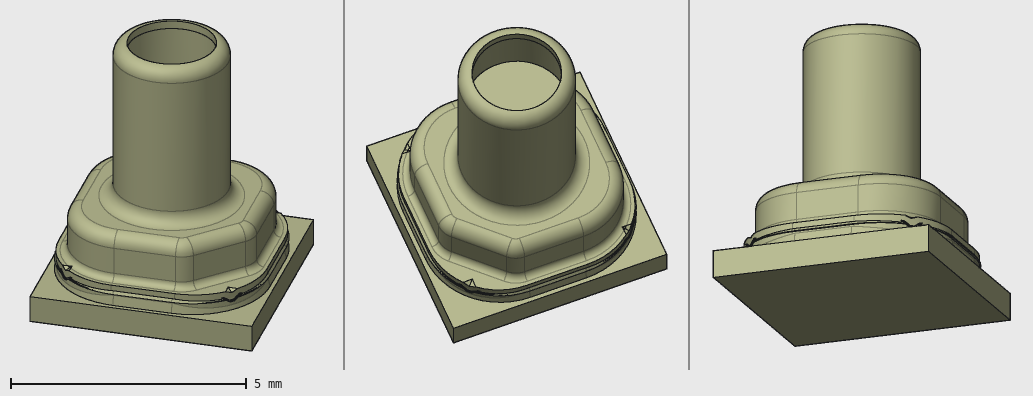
import cadquery as cq
import math

BASE_SIDE = 4.89
BASE_HEIGHT = 0.60

FLANGE_HALF = 2.30
FLANGE_CORNER_RADIUS = 1.60
FLANGE_TOP = 1.06

FOOT_HALF = 2.345
FOOT_CORNER_RADIUS = 1.70
FOOT_TOP = 0.82
FOOT_TAPER = math.degrees(math.atan2(FOOT_HALF - FLANGE_HALF, FOOT_TOP - BASE_HEIGHT))

RIDGE_BOTTOM = 0.862
RIDGE_TOP = 0.929
RIDGE_TAPER = math.degrees(math.atan2(FOOT_HALF - FLANGE_HALF, RIDGE_TOP - RIDGE_BOTTOM))

DIP_HALF_WIDTH = 0.19
DIP_TIP_HALF_WIDTH = 0.05
DIP_TIP_BOTTOM = 0.80
DIP_BAND = 0.035

NOTCH_APEX = 2.43
NOTCH_HALF_WIDTH = 0.15
NOTCH_DEPTH = 0.055

BLOCK_HALF = 2.055
BLOCK_CORNER_RADIUS = 1.355
BLOCK_TOP = 2.12
BLOCK_TOP_FILLET = 0.30
BLOCK_FOOT_FILLET = 0.155
CUT_OFFSET = 2.917
CUT_EDGE_RADIUS = 0.50

TUBE_RADIUS = 1.25
TUBE_TOP = 5.82
TUBE_FILLET = 0.30
MOUTH_RADIUS = TUBE_RADIUS - TUBE_FILLET
LIP_THICKNESS = 0.18
BORE_RADIUS = 1.10
BORE_DEPTH = 1.35

SELECT_MARGIN = 0.02
CORNER_ANGLES = (45, 135, 225, 315)


def rounded_square(half, corner_radius, bottom, height, taper=0):
    """Prism with a rounded square outline, narrowing upward when tapered."""
    outline = cq.Sketch().rect(2 * half, 2 * half).vertices().fillet(corner_radius)
    return cq.Workplane("XY").workplane(offset=bottom).placeSketch(outline).extrude(height, taper=taper)


def make_base():
    return cq.Workplane("XY").box(BASE_SIDE, BASE_SIDE, BASE_HEIGHT, centered=(True, True, False))


def make_flange():
    wall = rounded_square(FLANGE_HALF, FLANGE_CORNER_RADIUS, BASE_HEIGHT, FLANGE_TOP - BASE_HEIGHT)
    foot_height = FOOT_TOP - BASE_HEIGHT
    foot = rounded_square(FOOT_HALF, FOOT_CORNER_RADIUS, BASE_HEIGHT, foot_height, FOOT_TAPER)
    return wall.union(foot)


def make_ridge():
    height = RIDGE_TOP - RIDGE_BOTTOM
    return rounded_square(FOOT_HALF, FOOT_CORNER_RADIUS, RIDGE_BOTTOM, height, RIDGE_TAPER)


def dip_wedge(tip_z, angle):
    """Blunt V pointing down, reaching from the axis outward through one corner."""
    slope = (DIP_HALF_WIDTH - DIP_TIP_HALF_WIDTH) / (RIDGE_TOP - DIP_TIP_BOTTOM - DIP_BAND)
    top_half_width = DIP_TIP_HALF_WIDTH + slope * (RIDGE_TOP - tip_z)
    profile = [
        (-top_half_width, RIDGE_TOP),
        (-DIP_TIP_HALF_WIDTH, tip_z),
        (DIP_TIP_HALF_WIDTH, tip_z),
        (top_half_width, RIDGE_TOP),
    ]
    wedge = cq.Workplane("YZ").polyline(profile).close().extrude(BASE_SIDE)
    return wedge.rotate((0, 0, 0), (0, 0, 1), angle)


def add_ridge_dips(body):
    """Bend the ridge down into a V at each corner."""
    height = RIDGE_TOP - DIP_TIP_BOTTOM
    ridge_prism = rounded_square(FOOT_HALF, FOOT_CORNER_RADIUS, DIP_TIP_BOTTOM, height)
    flange_prism = rounded_square(FLANGE_HALF, FLANGE_CORNER_RADIUS, DIP_TIP_BOTTOM, height)
    for angle in CORNER_ANGLES:
        band = dip_wedge(DIP_TIP_BOTTOM, angle).intersect(ridge_prism)
        recess = dip_wedge(DIP_TIP_BOTTOM + DIP_BAND, angle).cut(flange_prism)
        body = body.union(band).cut(recess)
    return body


def make_notch(angle):
    """V groove that deepens and widens from a point outward along one diagonal."""
    corner_reach = math.sqrt(2) * (FLANGE_HALF - FLANGE_CORNER_RADIUS) + FLANGE_CORNER_RADIUS
    apex = cq.Vector(NOTCH_APEX, 0, FLANGE_TOP)
    left = cq.Vector(corner_reach, NOTCH_HALF_WIDTH, FLANGE_TOP)
    right = cq.Vector(corner_reach, -NOTCH_HALF_WIDTH, FLANGE_TOP)
    bottom = cq.Vector(corner_reach, 0, FLANGE_TOP - NOTCH_DEPTH)
    triangles = [
        (apex, left, right),
        (apex, left, bottom),
        (apex, right, bottom),
        (left, right, bottom),
    ]
    faces = [cq.Face.makeFromWires(cq.Wire.makePolygon(points, close=True)) for points in triangles]
    groove = cq.Solid.makeSolid(cq.Shell.makeShell(faces))
    return cq.Workplane(groove).rotate((0, 0, 0), (0, 0, 1), angle)


def add_block(body):
    """Block with its cut corner at +X, -Y, filleted into the flange and around its top."""
    cut_start = CUT_OFFSET - BLOCK_HALF
    corners = [
        (-BLOCK_HALF, -BLOCK_HALF),
        (cut_start, -BLOCK_HALF),
        (BLOCK_HALF, -cut_start),
        (BLOCK_HALF, BLOCK_HALF),
        (-BLOCK_HALF, BLOCK_HALF),
    ]
    cut_ends = cq.selectors.BoxSelector((0, -BASE_SIDE, BASE_HEIGHT), (BASE_SIDE, 0, BLOCK_TOP))
    upright = cq.selectors.StringSyntaxSelector("|Z")
    block = (
        cq.Workplane("XY")
        .workplane(offset=BASE_HEIGHT)
        .polyline(corners)
        .close()
        .extrude(BLOCK_TOP - BASE_HEIGHT)
        .edges(upright - cut_ends)
        .fillet(BLOCK_CORNER_RADIUS)
        .edges(upright & cut_ends)
        .fillet(CUT_EDGE_RADIUS)
        .faces(">Z")
        .edges()
        .fillet(BLOCK_TOP_FILLET)
    )
    foot_edges = cq.selectors.BoxSelector(
        (-BLOCK_HALF - SELECT_MARGIN, -BLOCK_HALF - SELECT_MARGIN, FLANGE_TOP - SELECT_MARGIN),
        (BLOCK_HALF + SELECT_MARGIN, BLOCK_HALF + SELECT_MARGIN, FLANGE_TOP + SELECT_MARGIN),
        boundingbox=True,
    )
    return body.union(block).edges(foot_edges).fillet(BLOCK_FOOT_FILLET)


def make_tube():
    """Tube with a rounded top, flared into the block top."""
    flare_radius = TUBE_RADIUS + TUBE_FILLET
    flare_top = BLOCK_TOP + TUBE_FILLET
    arc_inset = TUBE_FILLET * (1 - math.sqrt(0.5))
    profile = (
        cq.Workplane("XZ")
        .moveTo(0, BASE_HEIGHT)
        .lineTo(flare_radius, BASE_HEIGHT)
        .lineTo(flare_radius, BLOCK_TOP)
        .threePointArc((TUBE_RADIUS + arc_inset, BLOCK_TOP + arc_inset), (TUBE_RADIUS, flare_top))
        .lineTo(TUBE_RADIUS, TUBE_TOP - TUBE_FILLET)
        .threePointArc((TUBE_RADIUS - arc_inset, TUBE_TOP - arc_inset), (MOUTH_RADIUS, TUBE_TOP))
        .lineTo(0, TUBE_TOP)
        .close()
    )
    return profile.revolve(360, (0, 0, 0), (0, 1, 0))


def bore_tube(body):
    """Blind bore that is wider below the lip at the mouth."""
    mouth = cq.Workplane("XY").workplane(offset=TUBE_TOP).circle(MOUTH_RADIUS).extrude(-BORE_DEPTH)
    bore = (
        cq.Workplane("XY")
        .workplane(offset=TUBE_TOP - LIP_THICKNESS)
        .circle(BORE_RADIUS)
        .extrude(LIP_THICKNESS - BORE_DEPTH)
    )
    return body.cut(mouth).cut(bore)


body = add_block(make_flange())
body = body.union(make_ridge())
body = add_ridge_dips(body)
for corner_angle in CORNER_ANGLES:
    body = body.cut(make_notch(corner_angle))
body = body.union(make_base()).union(make_tube())
result = bore_tube(body)